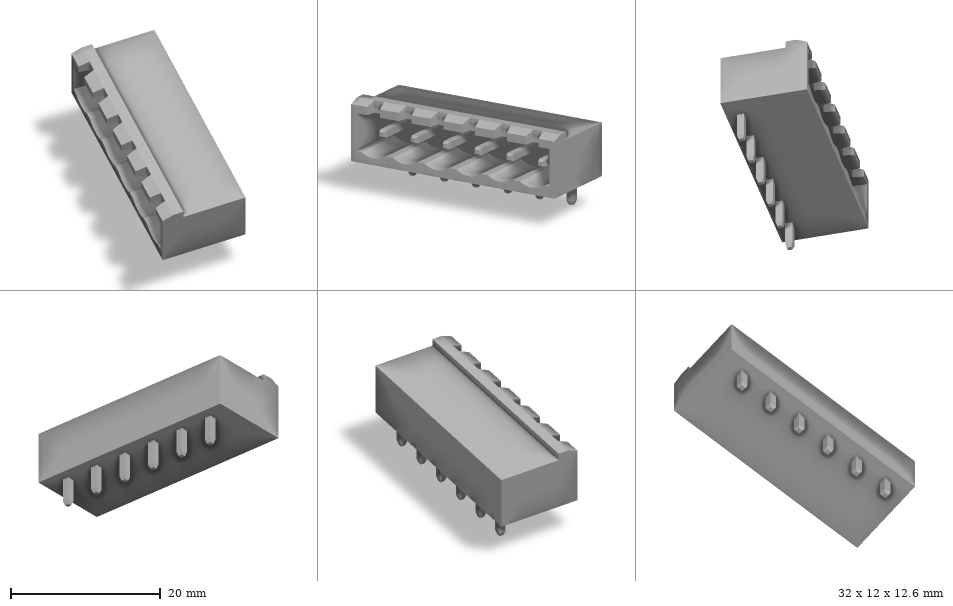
import cadquery as cq


pin_count = 6
pitch = 5.0
end_margin = 3.5

length = (pin_count - 1) * pitch + 2 * end_margin
depth = 12.0
roof_height = 7.55
lip_height = 8.6
lip_depth = 3.0
bevel_depth = 1.5
bevel_drop = 0.6

end_wall = 0.8
cavity_floor = 1.55
cavity_ceiling = 6.85
cavity_depth = 8.5
groove_width = 3.9
groove_sag = 0.6

notch_front_width = 2.0
notch_back_width = 1.5
notch_depth = bevel_depth

pin_width = 1.0
pin_tip_width = 0.6
pin_taper = 0.6
pin_drop = 4.0
pin_from_back = 2.0
contact_height = 3.8
contact_setback = 2.0

front_y = -depth / 2
back_y = depth / 2
leg_y = back_y - pin_from_back
pin_positions = [(i - (pin_count - 1) / 2) * pitch for i in range(pin_count)]


def make_housing():
    profile = [
        (front_y, 0),
        (back_y, 0),
        (back_y, roof_height),
        (front_y + lip_depth, roof_height),
        (front_y + lip_depth, lip_height),
        (front_y + bevel_depth, lip_height),
        (front_y, lip_height - bevel_drop),
    ]
    return cq.Workplane("YZ").polyline(profile).close().extrude(length / 2, both=True)


def make_cavity():
    """Rectangular pocket open to the front, with a round floor groove under each pin."""
    half_width = length / 2 - end_wall
    outline = cq.Workplane("XZ", origin=(0, front_y, 0)).moveTo(-half_width, cavity_ceiling)
    outline = outline.lineTo(-half_width, cavity_floor)
    for x in pin_positions:
        outline = outline.lineTo(x - groove_width / 2, cavity_floor)
        outline = outline.threePointArc(
            (x, cavity_floor - groove_sag),
            (x + groove_width / 2, cavity_floor),
        )
    outline = outline.lineTo(half_width, cavity_floor).lineTo(half_width, cavity_ceiling)
    return outline.close().extrude(-cavity_depth)


def make_notch(x):
    """Trapezoidal gap through the cavity ceiling at the front of the lip."""
    notch_back_y = front_y + notch_depth
    plan = [
        (x - notch_front_width / 2, front_y),
        (x + notch_front_width / 2, front_y),
        (x + notch_back_width / 2, notch_back_y),
        (x - notch_back_width / 2, notch_back_y),
    ]
    base = cq.Workplane("XY").workplane(offset=cavity_ceiling)
    return base.polyline(plan).close().extrude(lip_height - cavity_ceiling)


def make_bar(plane, bar_length):
    """Square bar with a pyramidal tip, running bar_length along the plane normal."""
    shank_length = bar_length - pin_taper
    shank = cq.Workplane(plane).rect(pin_width, pin_width).extrude(shank_length)
    tip = (
        cq.Workplane(plane)
        .workplane(offset=shank_length)
        .rect(pin_width, pin_width)
        .workplane(offset=pin_taper)
        .rect(pin_tip_width, pin_tip_width)
        .loft(ruled=True)
    )
    return shank.union(tip)


def make_pin(x):
    """Right-angle pin: a solder leg pointing down and a contact pointing forward."""
    corner = (x, leg_y, contact_height)
    leg = make_bar(cq.Plane(corner, (1, 0, 0), (0, 0, -1)), contact_height + pin_drop)
    contact_length = leg_y - (front_y + contact_setback)
    contact = make_bar(cq.Plane(corner, (1, 0, 0), (0, -1, 0)), contact_length)
    return leg.union(contact)


result = make_housing().cut(make_cavity())
for pin_x in pin_positions:
    result = result.cut(make_notch(pin_x))
for pin_x in pin_positions:
    result = result.union(make_pin(pin_x))